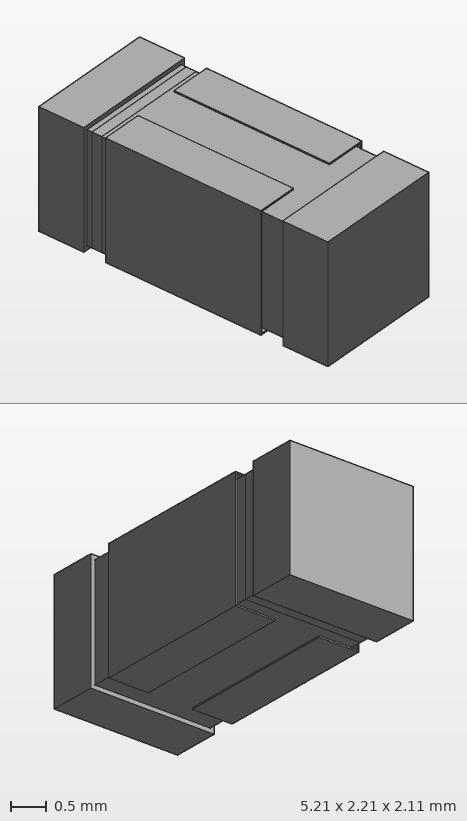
import cadquery as cq

length = 5.21
width = 2.21
height = 2.11

coating = 0.075
cap_length = 0.815
wrap_thickness = 0.025
wrap_length = 2.8
wrap_gap = 0.79
band_width = 0.175
band_start = 0.9

core_length = length - 2 * coating
core_width = width - 2 * coating
core_height = height - 2 * coating
band_center = -length / 2 + band_start + band_width / 2


def make_core_block():
    return cq.Workplane("XY").box(core_length, core_width, core_height)


def make_band():
    """Closed ring whose outside is flush with the core."""
    outer = cq.Workplane("XY").box(band_width, core_width, core_height)
    opening = cq.Workplane("XY").box(band_width, core_width - 2 * coating, core_height - 2 * coating)
    return outer.cut(opening).translate((band_center, 0, 0))


def make_end_cap(side):
    """Five-sided cup over one end of the core; side is -1 or +1 along X."""
    center = side * (length - cap_length) / 2
    shell = cq.Workplane("XY").box(cap_length, width, height).translate((center, 0, 0))
    return shell.cut(make_core_block())


def make_side_wrap(side):
    """Thin C-shaped sheet spaced off one long side of the core; side is -1 or +1 along Y."""
    wrap_depth = (width - wrap_gap) / 2
    center = side * (width - wrap_depth) / 2
    block = cq.Workplane("XY").box(wrap_length, wrap_depth, height).translate((0, center, 0))
    inside_width = width - 2 * wrap_thickness
    inside_height = height - 2 * wrap_thickness
    inside = cq.Workplane("XY").box(wrap_length, inside_width, inside_height)
    return block.cut(inside)


band = make_band()
core = make_core_block().cut(band)
end_caps = [make_end_cap(side) for side in (-1, 1)]
side_wraps = [make_side_wrap(side) for side in (-1, 1)]

result = cq.Compound.makeCompound(
    [core.val(), band.val()] + [body.val() for body in end_caps + side_wraps]
)